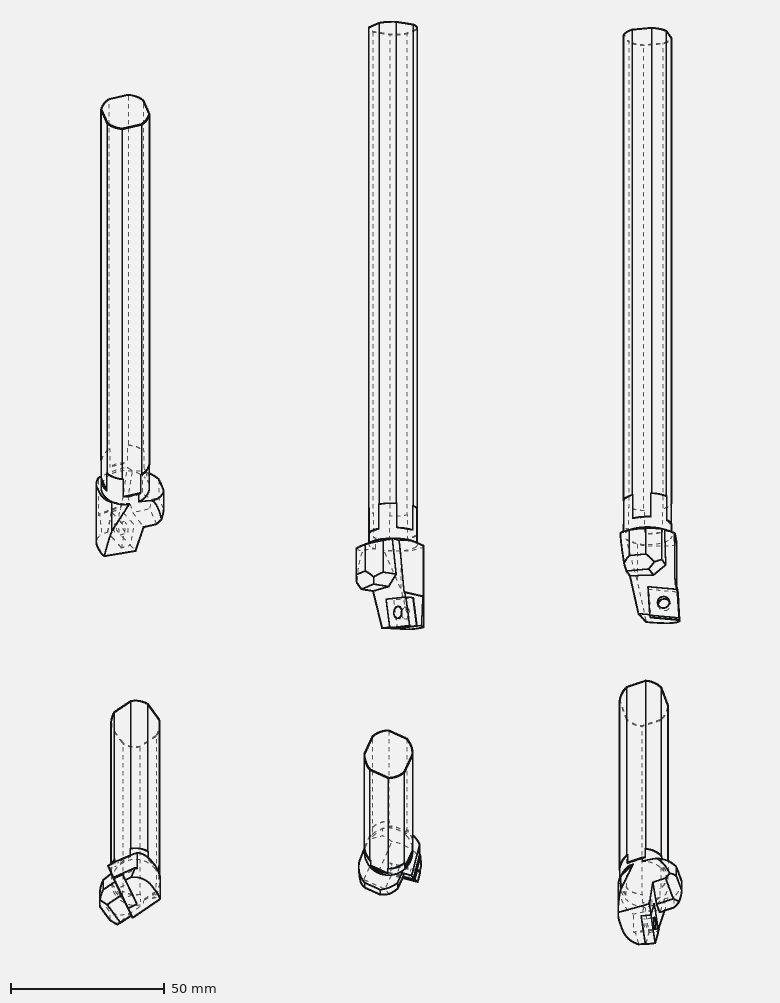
import cadquery as cq
import math

TOTAL_LENGTH = 204.5
SHANK_DIAMETER = 16.0
FLAT_SPACING = 14.5
TOP_CHAMFER = 0.2
NECK_DIAMETER = 15.7
NECK_TOP = 41.7
FLAT_END = 33.5

CORNER_RADIUS = 7.5
FRONT_FACE_Y = -8.5
FRONT_FLAT_LEFT = -3.0
FRONT_FLAT_RIGHT = -0.5
CORNER_CENTER_Y = FRONT_FACE_Y + CORNER_RADIUS
FACET_FRONT_X = -8.2
FACET_BACK_X = -10.0
FACET_BACK_Y = 3.3
HEAD_RIGHT_X = 7.5
RIGHT_BEVEL_START_X = 5.1
BACK_FACE_Y = 12.3
BACK_FLAT_LEFT = -2.7
BACK_FLAT_RIGHT = 2.9
BACK_CORNER_Y = 5.1
HUMP_LEFT_X = -7.0
HUMP_CORNER_Y = 8.0
HUMP_ARC_POINT = (-5.1, 10.5)
HUMP_BOTTOM = 14.5
HUMP_BEVEL_DEPTH = 3.0
HUMP_BEVEL_HEIGHT = 4.0
HUMP_SIDE_BEVEL_DEPTH = 4.0
HUMP_SIDE_BEVEL_HEIGHT = 3.3
SHOULDER_TOP = 29.8
SHOULDER_SLOPE = 0.5
FACET_BOTTOM = 11.2
RIGHT_SLOPE_BOTTOM_X = 2.0
RIGHT_SLOPE_TOP_X = HEAD_RIGHT_X
CUTTER_SIZE = 81.8

TIP = (-10.6, 0.2, 0)
RAKE_SLOPE_X = 0.18
RAKE_SLOPE_Z = 0.125
INSERT_EDGE = 9.6
INSERT_THICKNESS = 3.3
INSERT_HOLE_DIAMETER = 3.9
NOSE_RADIUS = 0.2
NOSE_ANGLE = 80.0
END_EDGE_ANGLE = 7.0
NOSE_SETBACK = 0.2

RAKE_PLANE = cq.Plane(
    origin=TIP,
    xDir=(1, RAKE_SLOPE_X, 0),
    normal=(-RAKE_SLOPE_X, 1, -RAKE_SLOPE_Z),
)


def rhombus(edge, setback=0.0):
    """Corners of the rhombus in the rake plane, whose local Y points down."""
    end_angle = math.radians(END_EDGE_ANGLE)
    side_angle = math.radians(END_EDGE_ANGLE + NOSE_ANGLE)
    end = (edge * math.cos(end_angle), -edge * math.sin(end_angle))
    side = (edge * math.cos(side_angle), -edge * math.sin(side_angle))
    corners = [(0, 0), end, (end[0] + side[0], end[1] + side[1]), side]
    return [(x + setback, y - setback) for x, y in corners]


def insert_blank():
    blank = cq.Workplane(RAKE_PLANE).polyline(rhombus(INSERT_EDGE)).close().extrude(-INSERT_THICKNESS)
    return blank.edges(cq.selectors.ParallelDirSelector(RAKE_PLANE.zDir)).fillet(NOSE_RADIUS)


def make_insert():
    center_x, center_y = (value / 2 for value in rhombus(INSERT_EDGE)[2])
    hole = (
        cq.Workplane(RAKE_PLANE).center(center_x, center_y)
        .circle(INSERT_HOLE_DIAMETER / 2).extrude(-INSERT_THICKNESS)
    )
    return insert_blank().cut(hole)


def flatted_bar(diameter, bottom, top):
    flats = (
        cq.Workplane("XY", origin=(0, 0, bottom))
        .rect(FLAT_SPACING, FLAT_SPACING).extrude(top - bottom)
    )
    return (
        cq.Workplane("XY", origin=(0, 0, bottom))
        .circle(diameter / 2).extrude(top - bottom).intersect(flats)
    )


def make_shank():
    bar = flatted_bar(SHANK_DIAMETER, NECK_TOP, TOTAL_LENGTH).faces(">Z").chamfer(TOP_CHAMFER)
    neck = flatted_bar(NECK_DIAMETER, FLAT_END, NECK_TOP)
    collar = (
        cq.Workplane("XY", origin=(0, 0, SHOULDER_TOP))
        .circle(NECK_DIAMETER / 2).extrude(FLAT_END - SHOULDER_TOP)
    )
    return bar.union(neck).union(collar.intersect(right_slope()))


def corner_y(x, center_x):
    return CORNER_CENTER_Y - math.sqrt(CORNER_RADIUS**2 - (x - center_x) ** 2)


def arc_middle(start_x, end_x, center_x):
    """Point of a front corner arc midway in X between its ends."""
    x = (start_x + end_x) / 2
    return x, corner_y(x, center_x)


def head_prism(bottom, top, arc_left_x, left_points):
    """Block with rounded front corners; left_points close its left side from the back."""
    bevel_y = corner_y(RIGHT_BEVEL_START_X, FRONT_FLAT_RIGHT)
    outline = (
        cq.Workplane("XY", origin=(0, 0, bottom))
        .moveTo(arc_left_x, corner_y(arc_left_x, FRONT_FLAT_LEFT))
        .threePointArc(
            arc_middle(arc_left_x, FRONT_FLAT_LEFT, FRONT_FLAT_LEFT), (FRONT_FLAT_LEFT, FRONT_FACE_Y)
        )
        .lineTo(FRONT_FLAT_RIGHT, FRONT_FACE_Y)
        .threePointArc(
            arc_middle(FRONT_FLAT_RIGHT, RIGHT_BEVEL_START_X, FRONT_FLAT_RIGHT),
            (RIGHT_BEVEL_START_X, bevel_y),
        )
        .lineTo(HEAD_RIGHT_X, CORNER_CENTER_Y)
        .lineTo(HEAD_RIGHT_X, BACK_CORNER_Y)
    )
    for point in left_points:
        outline = outline.lineTo(*point)
    return outline.close().extrude(top - bottom)


def right_slope():
    """Space to the left of the +X side of the head, which slopes below the shoulder."""
    return (
        cq.Workplane("XZ", origin=(0, CUTTER_SIZE / 2, 0))
        .polyline([
            (-CUTTER_SIZE, 0),
            (RIGHT_SLOPE_BOTTOM_X, 0),
            (RIGHT_SLOPE_TOP_X, SHOULDER_TOP),
            (RIGHT_SLOPE_TOP_X, CUTTER_SIZE),
            (-CUTTER_SIZE, CUTTER_SIZE),
        ])
        .close().extrude(CUTTER_SIZE)
    )


def below_rake():
    return cq.Workplane(RAKE_PLANE).rect(2 * CUTTER_SIZE, 2 * CUTTER_SIZE).extrude(-CUTTER_SIZE)


def hump_limit():
    """Space above the two bevels under the hump."""
    rear = (
        cq.Workplane("YZ", origin=(-CUTTER_SIZE / 2, 0, 0))
        .polyline([
            (-CUTTER_SIZE, HUMP_BOTTOM),
            (BACK_FACE_Y - HUMP_BEVEL_DEPTH, HUMP_BOTTOM),
            (BACK_FACE_Y, HUMP_BOTTOM + HUMP_BEVEL_HEIGHT),
            (BACK_FACE_Y, CUTTER_SIZE),
            (-CUTTER_SIZE, CUTTER_SIZE),
        ])
        .close().extrude(CUTTER_SIZE)
    )
    side = (
        cq.Workplane("XZ", origin=(0, CUTTER_SIZE / 2, 0))
        .polyline([
            (HUMP_LEFT_X, CUTTER_SIZE),
            (HUMP_LEFT_X, HUMP_BOTTOM + HUMP_SIDE_BEVEL_HEIGHT),
            (HUMP_LEFT_X + HUMP_SIDE_BEVEL_DEPTH, HUMP_BOTTOM),
            (CUTTER_SIZE, HUMP_BOTTOM),
            (CUTTER_SIZE, CUTTER_SIZE),
        ])
        .close().extrude(CUTTER_SIZE)
    )
    return rear.intersect(side)


def shoulder_cone():
    neck_radius = NECK_DIAMETER / 2
    rim_radius = 2 * BACK_FACE_Y
    rim_z = SHOULDER_TOP - SHOULDER_SLOPE * (rim_radius - neck_radius)
    return (
        cq.Workplane("XZ")
        .polyline([
            (0, 0), (rim_radius, 0), (rim_radius, rim_z),
            (neck_radius, SHOULDER_TOP), (0, SHOULDER_TOP),
        ])
        .close().revolve(360, (0, 0), (0, 1))
    )


def make_hump():
    middle_y = (CORNER_CENTER_Y + BACK_CORNER_Y) / 2
    return (
        cq.Workplane("XY", origin=(0, 0, HUMP_BOTTOM))
        .moveTo(HUMP_LEFT_X, middle_y)
        .lineTo(HEAD_RIGHT_X, middle_y)
        .lineTo(HEAD_RIGHT_X, BACK_CORNER_Y)
        .tangentArcPoint((BACK_FLAT_RIGHT, BACK_FACE_Y), relative=False)
        .lineTo(BACK_FLAT_LEFT, BACK_FACE_Y)
        .threePointArc(HUMP_ARC_POINT, (HUMP_LEFT_X, HUMP_CORNER_Y))
        .close().extrude(SHOULDER_TOP - HUMP_BOTTOM)
        .intersect(hump_limit())
    )


def make_head():
    upper = head_prism(
        FACET_BOTTOM, SHOULDER_TOP, FACET_FRONT_X,
        [(FACET_BACK_X, BACK_CORNER_Y), (FACET_BACK_X, FACET_BACK_Y)],
    )
    lower_left_x = FRONT_FLAT_LEFT - CORNER_RADIUS
    nose = (
        cq.Workplane(RAKE_PLANE).polyline(rhombus(CUTTER_SIZE, NOSE_SETBACK)).close()
        .extrude(-CUTTER_SIZE)
    )
    lower = head_prism(0, FACET_BOTTOM, lower_left_x, [(lower_left_x, BACK_CORNER_Y)]).intersect(nose)
    front = upper.union(lower).intersect(below_rake())
    return front.union(make_hump()).intersect(right_slope()).intersect(shoulder_cone())


bar = make_shank().union(make_head()).cut(insert_blank())
insert = make_insert()

result = cq.Compound.makeCompound([bar.val(), insert.val()])